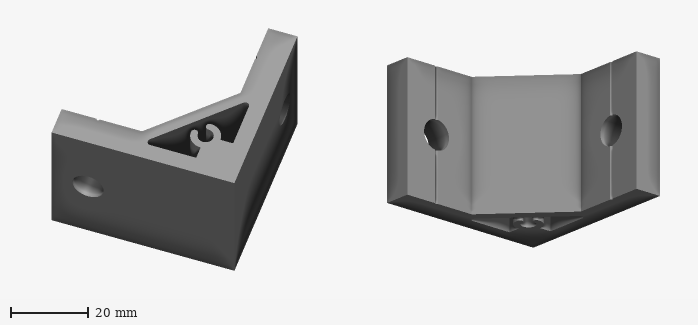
import cadquery as cq
import math

leg_length = 50.0
leg_thickness = 8.0
height = 38.0

brace_reach = 28.0
brace_thickness = 3.2
hollow_wall = 4.5
hollow_fillet = 1.0

channel_center = 12.0
channel_outer_radius = 4.0
channel_inner_radius = 2.1

hole_diameter = 8.5
hole_distance = 40.0
groove_depth = 0.5
groove_half_width = 0.5


def make_body():
    """Both legs and the filled triangle below the outer face of the brace."""
    outline = [
        (0, 0),
        (0, leg_length),
        (-leg_thickness, leg_length),
        (-leg_thickness, brace_reach),
        (-brace_reach, leg_thickness),
        (-leg_length, leg_thickness),
        (-leg_length, 0),
    ]
    return cq.Workplane("XY").polyline(outline).close().extrude(height)


def make_hollow():
    """Triangular void with rounded acute corners, stepped around the corner block."""
    inner_line_sum = brace_reach + leg_thickness - brace_thickness * math.sqrt(2)
    hollow_reach = inner_line_sum - hollow_wall
    triangle = [
        (-hollow_wall, hollow_wall),
        (-hollow_wall, hollow_reach),
        (-hollow_reach, hollow_wall),
    ]
    hollow = cq.Workplane("XY").polyline(triangle).close().extrude(height)
    hollow = hollow.edges("|Z and (>Y or <X)").fillet(hollow_fillet)
    corner_block = cq.Workplane("XY").box(channel_center, channel_center, height, centered=False)
    return hollow.cut(corner_block.translate((-channel_center, 0, 0)))


def make_channel_wall():
    """Three-quarter ring with rounded tips, open toward the brace."""
    tip_radius = (channel_outer_radius - channel_inner_radius) / 2
    tip_offset = (channel_outer_radius + channel_inner_radius) / 2
    center_plane = cq.Workplane("XY", origin=(-channel_center, channel_center, 0))
    ring = center_plane.circle(channel_outer_radius).circle(channel_inner_radius).extrude(height)
    opening = center_plane.rect(-channel_outer_radius, channel_outer_radius, centered=False).extrude(height)
    tips = center_plane.pushPoints([(-tip_offset, 0), (0, tip_offset)]).circle(tip_radius).extrude(height)
    return ring.cut(opening).union(tips)


def make_channel_bore():
    """Round bore of the screw channel, which also cuts into the corner block."""
    bore = cq.Workplane("XY", origin=(-channel_center, channel_center, 0))
    return bore.circle(channel_inner_radius).extrude(height)


def make_leg_cuts():
    """Bolt hole and V groove of the leg along -X."""
    hole = (
        cq.Workplane("XZ", origin=(-hole_distance, 0, height / 2))
        .circle(hole_diameter / 2)
        .extrude(-leg_thickness)
    )
    groove_outline = [
        (-hole_distance - groove_half_width, leg_thickness),
        (-hole_distance, leg_thickness - groove_depth),
        (-hole_distance + groove_half_width, leg_thickness),
    ]
    groove = cq.Workplane("XY").polyline(groove_outline).close().extrude(height)
    return hole.union(groove)


def swap_legs(shape):
    """Reflect a shape across the symmetry plane y = -x, onto the other leg."""
    return shape.mirror("YZ").rotate((0, 0, 0), (0, 0, 1), 90)


result = make_body().cut(make_hollow()).union(make_channel_wall()).cut(make_channel_bore())
leg_cuts = make_leg_cuts()
for cuts in (leg_cuts, swap_legs(leg_cuts)):
    result = result.cut(cuts)